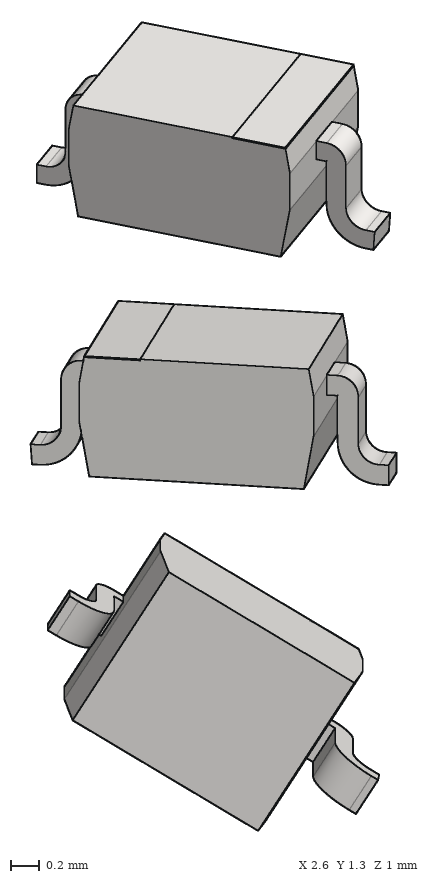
import cadquery as cq
import math

overall_length = 2.6
overall_height = 1.0

housing_length = 1.7
housing_width = 1.3
standoff = 0.1
upper_taper_height = 0.2
straight_height = 0.3
draft_angle = math.radians(10)

band_start_x = 0.408
band_thickness = 0.01

lead_thickness = 0.15
lead_width = 0.3
leg_outer_x = 1.08
right_toe_setback = 0.01

half_length = housing_length / 2
upper_break_z = overall_height - upper_taper_height
lower_break_z = upper_break_z - straight_height
top_half_length = half_length - upper_taper_height * math.tan(draft_angle)
bottom_half_length = half_length - (lower_break_z - standoff) * math.tan(draft_angle)

leg_inner_x = leg_outer_x - lead_thickness
shoulder_inner_z = upper_break_z - lead_thickness
foot_bend_inner_radius = lead_thickness
foot_bend_outer_radius = foot_bend_inner_radius + lead_thickness
foot_bend_x = leg_outer_x + foot_bend_inner_radius
foot_bend_z = foot_bend_outer_radius


def extrude_across(profile, width):
    """Extrude a closed XZ profile symmetrically about Y = 0."""
    return profile.extrude(width / 2, both=True)


def make_package():
    """Full moulded block, drafted at its ends above and below the straight zone."""
    profile = (
        cq.Workplane("XZ")
        .moveTo(-bottom_half_length, standoff)
        .lineTo(bottom_half_length, standoff)
        .lineTo(half_length, lower_break_z)
        .lineTo(half_length, upper_break_z)
        .lineTo(top_half_length, overall_height)
        .lineTo(-top_half_length, overall_height)
        .lineTo(-half_length, upper_break_z)
        .lineTo(-half_length, lower_break_z)
        .close()
    )
    return extrude_across(profile, housing_width)


def make_band_zone():
    """Box covering the part of the block that belongs to the polarity band."""
    return cq.Workplane("XY").box(
        half_length - band_start_x, housing_width, band_thickness, centered=(False, True, False)
    ).translate((band_start_x, 0, overall_height - band_thickness))


def make_housing():
    """Block with a shallow step in its top that receives the band."""
    return make_package().cut(make_band_zone())


def make_band():
    """Thin band flush with the housing top and following its drafted end."""
    return make_package().intersect(make_band_zone())


def arc_middle(center_x, center_z, radius, degrees):
    """Point on a circle in the XZ plane, used as the middle of an arc."""
    angle = math.radians(degrees)
    return (center_x + radius * math.cos(angle), center_z + radius * math.sin(angle))


def make_lead(side, toe_setback):
    """Lead on one end (side is +1 or -1); toe_setback leans the toe face inward at its base."""
    toe_x = overall_length / 2
    shoulder_middle = arc_middle(leg_inner_x, shoulder_inner_z, lead_thickness, 45)
    inner_bend_middle = arc_middle(foot_bend_x, foot_bend_z, foot_bend_inner_radius, 225)
    outer_bend_middle = arc_middle(foot_bend_x, foot_bend_z, foot_bend_outer_radius, 225)

    def at(x, z):
        return (side * x, z)

    profile = (
        cq.Workplane("XZ")
        .moveTo(*at(half_length, upper_break_z))
        .lineTo(*at(leg_inner_x, upper_break_z))
        .threePointArc(at(*shoulder_middle), at(leg_outer_x, shoulder_inner_z))
        .lineTo(*at(leg_outer_x, foot_bend_z))
        .threePointArc(at(*inner_bend_middle), at(foot_bend_x, lead_thickness))
        .lineTo(*at(toe_x, lead_thickness))
        .lineTo(*at(toe_x - toe_setback, 0))
        .lineTo(*at(foot_bend_x, 0))
        .threePointArc(at(*outer_bend_middle), at(leg_inner_x, foot_bend_z))
        .lineTo(*at(leg_inner_x, shoulder_inner_z))
        .lineTo(*at(half_length, shoulder_inner_z))
        .close()
    )
    return extrude_across(profile, lead_width)


housing = make_housing()
band = make_band()
leads = [make_lead(side, setback) for side, setback in ((-1, 0), (1, right_toe_setback))]

result = cq.Compound.makeCompound([housing.val(), band.val(), *[lead.val() for lead in leads]])